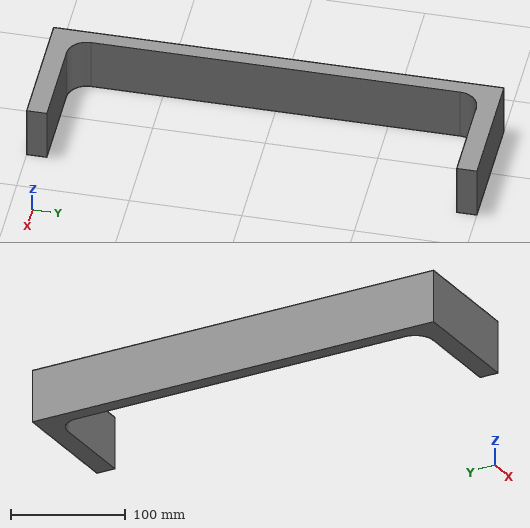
import cadquery as cq

channel_height = 400.0
flange_width = 115.0
channel_length = 50.0
web_thickness = 13.5
flange_thickness = 18.0
root_radius = 18.0

cavity_depth = flange_width - web_thickness
cavity_height = channel_height - 2 * flange_thickness


def outer_block():
    """Full rectangular envelope, web on the -X side."""
    return cq.Workplane("XY").box(flange_width, channel_height, channel_length)


def channel_cavity():
    """Space between the flanges, open to +X, rounded where it meets the web."""
    cavity = cq.Workplane("XY").box(cavity_depth, cavity_height, channel_length)
    cavity = cavity.edges("|Z and <X").fillet(root_radius)
    return cavity.translate((web_thickness / 2, 0, 0))


result = outer_block().cut(channel_cavity())